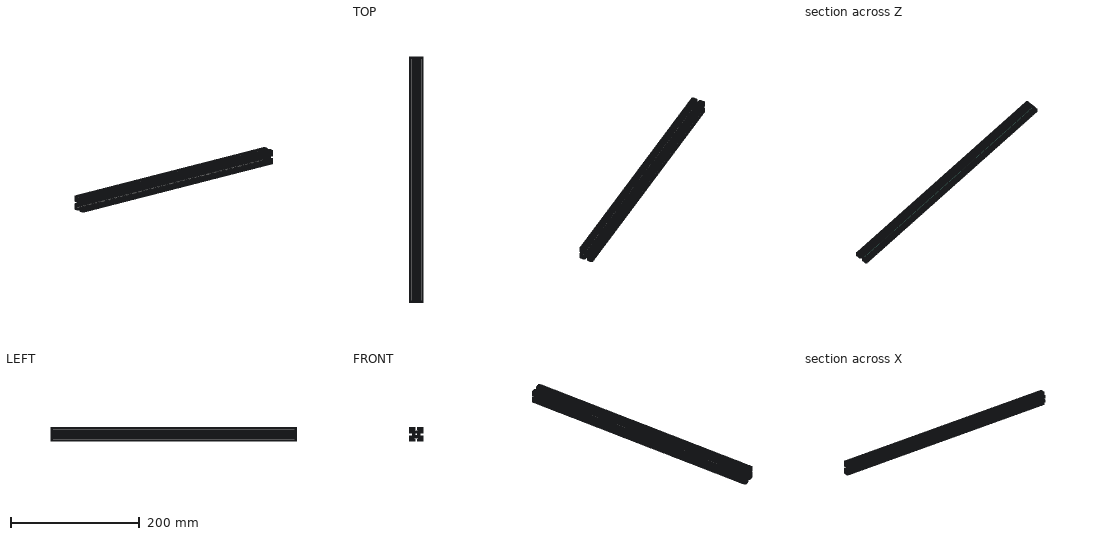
import cadquery as cq

size = 20.0
length = 380.0
corner_radius = 1.0

slot_opening = 6.0
slot_inner_width = 12.0
slot_floor_width = 6.6
lip_thickness = 1.5
lip_chamfer = 0.4
shoulder_depth = 2.87

core_width = 9.5

groove_width = 1.4
groove_depth = groove_width / 2

bore_width = 5.7
bore_chamfer = 0.75

half_size = size / 2
half_core = core_width / 2


def extrude_full_length(profile):
    """Extrude an XZ profile over the whole length, centred on the origin."""
    return profile.extrude(length / 2, both=True)


def square_bar():
    """Solid bar with rounded long edges."""
    bar = extrude_full_length(cq.Workplane("XZ").rect(size, size))
    return bar.edges("|Y").fillet(corner_radius)


def slot_cutter():
    """T-slot open toward +Z, with slanted lower walls and a V-grooved floor."""
    half_opening = slot_opening / 2
    half_inner = slot_inner_width / 2
    lip_z = half_size - lip_thickness
    right_side = [
        (groove_width / 2, half_core),
        (slot_floor_width / 2, half_core),
        (half_inner, half_size - shoulder_depth),
        (half_inner, lip_z),
        (half_opening, lip_z),
        (half_opening, half_size - lip_chamfer),
        (half_opening + lip_chamfer, half_size),
    ]
    left_side = [(-x, z) for x, z in reversed(right_side)]
    groove_bottom = (0, half_core - groove_depth)
    outline = [groove_bottom] + right_side + left_side
    return extrude_full_length(cq.Workplane("XZ").polyline(outline).close())


def bore_cutter():
    """Square bar with chamfered long edges."""
    bore = extrude_full_length(cq.Workplane("XZ").rect(bore_width, bore_width))
    return bore.edges("|Y").chamfer(bore_chamfer)


result = square_bar()
slot = slot_cutter()
for angle in (0, 90, 180, 270):
    result = result.cut(slot.rotate((0, 0, 0), (0, 1, 0), angle))
result = result.cut(bore_cutter())